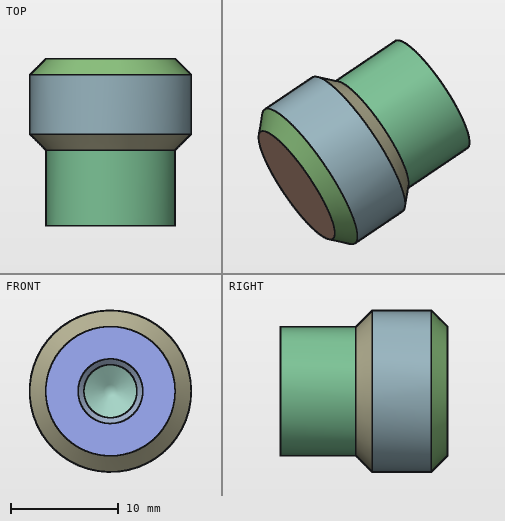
import cadquery as cq
import math

total_length = 15.5
head_diameter = 15.0
stem_diameter = 12.0
stem_length = 7.0

hole_diameter = 4.91
hole_depth = 10.0
countersink_diameter = 6.0
drill_tip_angle = 118.0

head_radius = head_diameter / 2
stem_radius = stem_diameter / 2
hole_radius = hole_diameter / 2
countersink_radius = countersink_diameter / 2

head_chamfer = head_radius - stem_radius
countersink_depth = countersink_radius - hole_radius
drill_tip_length = hole_radius / math.tan(math.radians(drill_tip_angle / 2))

half_section = [
    (countersink_radius, 0),
    (stem_radius, 0),
    (stem_radius, stem_length),
    (head_radius, stem_length + head_chamfer),
    (head_radius, total_length - head_chamfer),
    (stem_radius, total_length),
    (0, total_length),
    (0, hole_depth + drill_tip_length),
    (hole_radius, hole_depth),
    (hole_radius, countersink_depth),
]

result = (
    cq.Workplane("XY")
    .polyline(half_section)
    .close()
    .revolve(360, (0, 0, 0), (0, 1, 0))
)